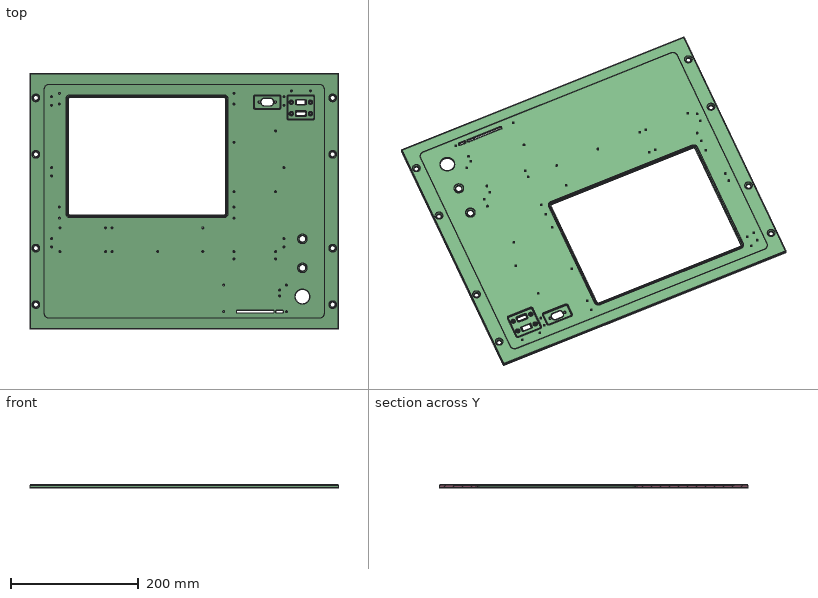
import cadquery as cq

LENGTH = 483.0
WIDTH = 400.0
THICKNESS = 5.0
EDGE_CHAMFER = 1.0

FILM_LENGTH = 438.5
FILM_WIDTH = 366.0
FILM_RADIUS = 7.5
FILM_DEPTH = 1.0

WINDOW_CENTER = (-58.5, 70.5)
WINDOW_LENGTH = 246.5
WINDOW_WIDTH = 184.5
WINDOW_RADIUS = 3.0
WINDOW_STEP_WIDTH = 2.0
WINDOW_STEP_DEPTH = 0.5

RECESS_LENGTH = 43.5
RECESS_TOP_EDGE = 166.5
RECESS_RADIUS = 3.5
RECESS_DEPTH = 2.5
RECESS_RIM_WIDTH = 1.5
RECESS_RIM_DEPTH = 0.5

SERIAL_X = 130.0
SERIAL_RECESS_WIDTH = 22.5
SERIAL_OPENING = (19.0, 11.5)
SERIAL_OPENING_RADIUS = 4.5
SERIAL_SCREW_OFFSET = 12.5
SERIAL_SCREW_DIAMETER = 3.5

PORT_X = 182.5
PORT_RECESS_WIDTH = 39.5
UPPER_PORT_Y = 155.0
UPPER_PORT_POCKET = (17.5, 7.5)
UPPER_PORT_OPENING = (13.5, 7.5)
LOWER_PORT_Y = 137.0
LOWER_PORT_POCKET = (17.5, 9.5)
LOWER_PORT_OPENING = (15.5, 6.0)
LOWER_PORT_RADIUS = 2.5
PORT_POCKET_DEPTH = 0.5
PORT_SCREW_OFFSET = 15.0
PORT_SCREW_DIAMETER = 3.0
PORT_SCREW_HEAD_DIAMETER = 7.0

MOUNT_X = 232.5
MOUNT_Y = (73.5, 162.0)
MOUNT_DIAMETER = 7.5
MOUNT_SINK_DIAMETER = 12.0

CONTROL_X = 185.0
SWITCH_Y = (-59.0, -104.5)
SWITCH_DIAMETER = 10.0
SWITCH_BORE_DIAMETER = 15.0
SWITCH_BORE_DEPTH = 1.5
BUTTON_Y = -149.2
BUTTON_DIAMETER = 22.5

SLOT_Y = -173.0
SLOT_WIDTH = 4.0
SLOT_RADIUS = 1.0
LONG_SLOT_X = 111.0
LONG_SLOT_LENGTH = 58.5
SHORT_SLOT_X = 149.2
SHORT_SLOT_LENGTH = 11.5

PIN_DIAMETER = 2.5
PIN_GROUPS = (
    ((-207.5, 156.0), (163.5, 150.0, 52.5, -58.5, -71.5)),
    ((-207.5,), (39.5,)),
    ((-195.5, 78.0), (169.0, 152.0, -9.0, -26.5)),
    ((78.0, 143.0), (15.0, -78.5, -90.5)),
    ((78.0,), (92.3,)),
    ((143.0,), (110.0,)),
    ((-194.5, -123.0, -113.0, 29.0), (-41.5, -78.5)),
    ((-41.5,), (-78.5,)),
    ((62.0, 160.0), (-131.5, SLOT_Y)),
    ((149.2,), (-139.0, -148.5)),
    ((PORT_X - PORT_SCREW_OFFSET, PORT_X + PORT_SCREW_OFFSET), (173.0,)),
)

RIM_TOP = THICKNESS / 2
FACE_TOP = RIM_TOP - FILM_DEPTH
RECESS_FLOOR = FACE_TOP - RECESS_DEPTH


def grid(columns, rows):
    """Every crossing of the given columns and rows."""
    return [(x, y) for x in columns for y in rows]


def grown(size, margin):
    """Rectangle size enlarged by a margin on all four sides."""
    return (size[0] + 2 * margin, size[1] + 2 * margin)


def block(center, size, top, depth=THICKNESS, radius=0.0):
    """Upright block reaching down from `top`, with optional rounded corners."""
    body = cq.Workplane("XY", origin=(*center, top)).rect(*size).extrude(-depth)
    return body.edges("|Z").fillet(radius) if radius else body


def cylinders(points, diameter, top, depth=THICKNESS):
    """Equal upright cylinders reaching down from `top`."""
    return cq.Workplane("XY", origin=(0, 0, top)).pushPoints(points).circle(diameter / 2).extrude(-depth)


def countersinks(points, diameter, sink_diameter, top):
    """45 degree cones that narrow from the sink diameter to the hole diameter."""
    depth = (sink_diameter - diameter) / 2
    plane = cq.Workplane("XY", origin=(0, 0, top)).pushPoints(points)
    return plane.circle(sink_diameter / 2).extrude(-depth, taper=45)


def cut_window(panel):
    size = (WINDOW_LENGTH, WINDOW_WIDTH)
    for step in (2, 1):
        margin = step * WINDOW_STEP_WIDTH
        depth = (3 - step) * WINDOW_STEP_DEPTH
        panel = panel.cut(block(WINDOW_CENTER, grown(size, margin), FACE_TOP, depth, WINDOW_RADIUS + margin))
    return panel.cut(block(WINDOW_CENTER, size, FACE_TOP, radius=WINDOW_RADIUS))


def cut_recess(panel, center, width):
    """Connector recess with a shallow step around its rim."""
    rim = (RECESS_LENGTH, width)
    floor = grown(rim, -RECESS_RIM_WIDTH)
    panel = panel.cut(block(center, rim, FACE_TOP, RECESS_RIM_DEPTH, RECESS_RADIUS))
    return panel.cut(block(center, floor, FACE_TOP, RECESS_DEPTH, RECESS_RADIUS - RECESS_RIM_WIDTH))


def cut_serial_connector(panel):
    center = (SERIAL_X, RECESS_TOP_EDGE - SERIAL_RECESS_WIDTH / 2)
    screws = grid((SERIAL_X - SERIAL_SCREW_OFFSET, SERIAL_X + SERIAL_SCREW_OFFSET), center[1:])
    panel = cut_recess(panel, center, SERIAL_RECESS_WIDTH)
    panel = panel.cut(block(center, SERIAL_OPENING, FACE_TOP, radius=SERIAL_OPENING_RADIUS))
    return panel.cut(cylinders(screws, SERIAL_SCREW_DIAMETER, FACE_TOP))


def cut_ports(panel):
    center = (PORT_X, RECESS_TOP_EDGE - PORT_RECESS_WIDTH / 2)
    panel = cut_recess(panel, center, PORT_RECESS_WIDTH)
    for y, pocket, opening, radius in (
        (UPPER_PORT_Y, UPPER_PORT_POCKET, UPPER_PORT_OPENING, 0.0),
        (LOWER_PORT_Y, LOWER_PORT_POCKET, LOWER_PORT_OPENING, LOWER_PORT_RADIUS),
    ):
        panel = panel.cut(block((PORT_X, y), pocket, RECESS_FLOOR, PORT_POCKET_DEPTH, radius))
        panel = panel.cut(block((PORT_X, y), opening, RECESS_FLOOR, radius=radius))
    columns = (PORT_X - PORT_SCREW_OFFSET, PORT_X + PORT_SCREW_OFFSET)
    screws = grid(columns, (UPPER_PORT_Y, LOWER_PORT_Y))
    panel = panel.cut(cylinders(screws, PORT_SCREW_HEAD_DIAMETER, RECESS_FLOOR, PORT_POCKET_DEPTH))
    return panel.cut(cylinders(screws, PORT_SCREW_DIAMETER, RECESS_FLOOR))


def cut_mounting_holes(panel):
    rows = [side * y for y in MOUNT_Y for side in (-1, 1)]
    points = grid((-MOUNT_X, MOUNT_X), rows)
    panel = panel.cut(countersinks(points, MOUNT_DIAMETER, MOUNT_SINK_DIAMETER, RIM_TOP))
    return panel.cut(cylinders(points, MOUNT_DIAMETER, RIM_TOP))


def cut_control_holes(panel):
    switches = grid((CONTROL_X,), SWITCH_Y)
    panel = panel.cut(cylinders(switches, SWITCH_BORE_DIAMETER, FACE_TOP, SWITCH_BORE_DEPTH))
    panel = panel.cut(cylinders(switches, SWITCH_DIAMETER, FACE_TOP))
    return panel.cut(cylinders([(CONTROL_X, BUTTON_Y)], BUTTON_DIAMETER, FACE_TOP))


def cut_slots(panel):
    for x, length in ((LONG_SLOT_X, LONG_SLOT_LENGTH), (SHORT_SLOT_X, SHORT_SLOT_LENGTH)):
        panel = panel.cut(block((x, SLOT_Y), (length, SLOT_WIDTH), FACE_TOP, radius=SLOT_RADIUS))
    return panel


def cut_pin_holes(panel):
    points = [point for columns, rows in PIN_GROUPS for point in grid(columns, rows)]
    return panel.cut(cylinders(points, PIN_DIAMETER, FACE_TOP))


result = cq.Workplane("XY").box(LENGTH, WIDTH, THICKNESS).faces(">Z").chamfer(EDGE_CHAMFER)
result = result.cut(block((0, 0), (FILM_LENGTH, FILM_WIDTH), RIM_TOP, FILM_DEPTH, FILM_RADIUS))
result = cut_window(result)
result = cut_serial_connector(result)
result = cut_ports(result)
result = cut_mounting_holes(result)
result = cut_control_holes(result)
result = cut_slots(result)
result = cut_pin_holes(result).solids()